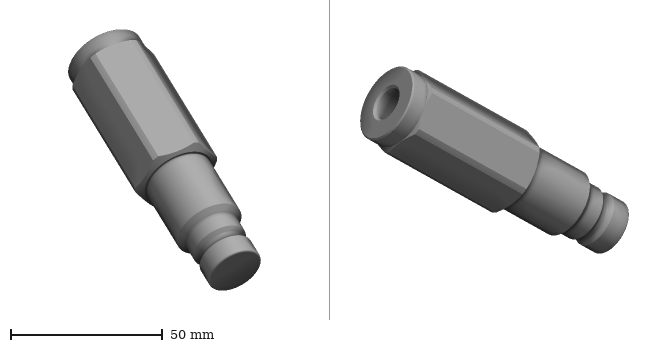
import cadquery as cq
import math

total_length = 99.2
hex_start = 6.1
hex_end = 56.0
shaft_start = 56.6
shoulder_start = 79.6
groove_center = 89.8

collar_radius = 13.4
hex_across_flats = 27.0
hex_corner_radius = 15.0
neck_radius = 11.5
shaft_radius = 11.8
nose_radius = 9.6
groove_radius = 8.1
bore_radius = 5.8
bore_depth = 19.8

collar_chamfer = 0.5
bore_chamfer = 0.8
hex_chamfer_angle = 30.0
hex_left_face_radius = 13.5
hex_right_face_radius = 12.3
shoulder_fillet = 0.9
groove_floor_width = 0.6
groove_floor_fillet = 1.24
groove_edge_fillet = 0.3
nose_end_fillet = 0.7


def cylinder(start, end, radius):
    return cq.Workplane("YZ", origin=(start, 0, 0)).circle(radius).extrude(end - start)


def revolve_about_x(profile):
    return profile.close().revolve(360, (0, 0, 0), (1, 0, 0))


def collar():
    return cylinder(0, hex_start, collar_radius).faces("<X").chamfer(collar_chamfer)


def hex_body():
    """Hexagon with rounded corners and a 30 degree cone turned on both ends."""
    slope = math.tan(math.radians(hex_chamfer_angle))
    left_cone = (hex_corner_radius - hex_left_face_radius) * slope
    right_cone = (hex_corner_radius - hex_right_face_radius) * slope
    prism = (
        cq.Workplane("YZ", origin=(hex_start, 0, 0))
        .polygon(6, hex_across_flats / math.cos(math.pi / 6))
        .extrude(hex_end - hex_start)
    )
    turned_blank = revolve_about_x(
        cq.Workplane("XY")
        .moveTo(hex_start, 0)
        .lineTo(hex_start, hex_left_face_radius)
        .lineTo(hex_start + left_cone, hex_corner_radius)
        .lineTo(hex_end - right_cone, hex_corner_radius)
        .lineTo(hex_end, hex_right_face_radius)
        .lineTo(hex_end, 0)
    )
    return prism.intersect(turned_blank)


def shaft_and_nose():
    """Tapered neck, shaft, 45 degree filleted shoulder and nose with a rounded end."""
    sin_45 = math.sin(math.pi / 4)
    fillet_length = shoulder_fillet * sin_45
    fillet_drop = shoulder_fillet * (1 - sin_45)
    cone_end_radius = nose_radius + fillet_drop
    cone_end = shoulder_start + shaft_radius - cone_end_radius
    profile = (
        cq.Workplane("XY")
        .moveTo(hex_end, 0)
        .lineTo(hex_end, neck_radius)
        .lineTo(shaft_start, shaft_radius)
        .lineTo(shoulder_start, shaft_radius)
        .lineTo(cone_end, cone_end_radius)
        .radiusArc((cone_end + fillet_length, nose_radius), -shoulder_fillet)
        .lineTo(total_length, nose_radius)
        .lineTo(total_length, 0)
    )
    return revolve_about_x(profile).faces(">X").edges().fillet(nose_end_fillet)


def groove():
    """Ring with 45 degree sides, blended into its floor and into the nose."""
    sin_45 = math.sin(math.pi / 4)
    half_floor = groove_floor_width / 2
    floor_blend = half_floor + groove_floor_fillet * sin_45
    floor_blend_radius = groove_radius + groove_floor_fillet * (1 - sin_45)
    edge_blend_radius = nose_radius - groove_edge_fillet * (1 - sin_45)
    edge_blend = floor_blend + edge_blend_radius - floor_blend_radius
    half_mouth = edge_blend + groove_edge_fillet * sin_45
    return revolve_about_x(
        cq.Workplane("XY")
        .moveTo(groove_center - half_mouth, nose_radius)
        .radiusArc((groove_center - edge_blend, edge_blend_radius), groove_edge_fillet)
        .lineTo(groove_center - floor_blend, floor_blend_radius)
        .radiusArc((groove_center - half_floor, groove_radius), -groove_floor_fillet)
        .lineTo(groove_center + half_floor, groove_radius)
        .radiusArc((groove_center + floor_blend, floor_blend_radius), -groove_floor_fillet)
        .lineTo(groove_center + edge_blend, edge_blend_radius)
        .radiusArc((groove_center + half_mouth, nose_radius), groove_edge_fillet)
    )


def bore():
    """Blind flat-bottomed bore with a chamfered mouth."""
    return revolve_about_x(
        cq.Workplane("XY")
        .lineTo(0, bore_radius + bore_chamfer)
        .lineTo(bore_chamfer, bore_radius)
        .lineTo(bore_depth, bore_radius)
        .lineTo(bore_depth, 0)
    )


result = collar().union(hex_body()).union(shaft_and_nose()).cut(groove()).cut(bore())